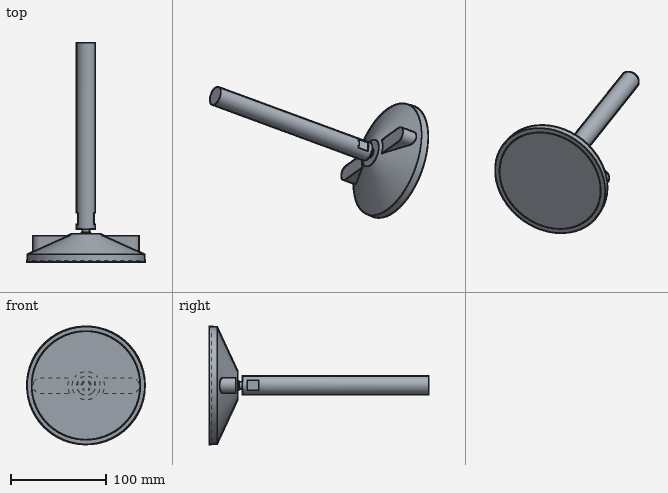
import cadquery as cq


foot_diameter = 124.0
rim_top_diameter = 123
hub_diameter = 29.5
rim_height = 8.3
foot_height = 30.0

recess_diameter = 114.0
pad_diameter = 113.5
gap_depth = 2.0

lug_length = 111.5
lug_width = 16.5
lug_top = 28.0
lug_bottom = rim_height / 2

ball_diameter = 12.5
ball_center = 26.7
neck_diameter = 7.8

rod_diameter = 20.0
rod_start = 34.75
rod_end = 230.0
flat_to_flat = 17.0
flat_length = 12.0
flat_offset = 5.0


def y_cylinder(diameter, start, end):
    """Cylinder on the Y axis from start to end."""
    plane = cq.Workplane("XZ", origin=(0, end, 0))
    return plane.circle(diameter / 2).extrude(end - start)


def make_foot():
    """Slightly tapered rim with a cone rising to a flat hub."""
    profile = [
        (0, 0),
        (foot_diameter / 2, 0),
        (rim_top_diameter / 2, rim_height),
        (hub_diameter / 2, foot_height),
        (0, foot_height),
    ]
    return cq.Workplane("XY").polyline(profile).close().revolve(360, (0, 0), (0, 1))


def make_lug():
    """Bar along X with round ends, running from inside the rim up to the lug top."""
    plane = cq.Workplane("XZ", origin=(0, lug_top, 0))
    return plane.slot2D(lug_length, lug_width).extrude(lug_top - lug_bottom)


def make_pad_gap():
    """Thin ring that separates the pad from the rim."""
    outer = y_cylinder(recess_diameter, 0, gap_depth)
    return outer.cut(y_cylinder(pad_diameter, 0, gap_depth))


def make_joint():
    """Ball seated in the hub and the neck that joins it to the rod."""
    ball = cq.Workplane("XY", origin=(0, ball_center, 0)).sphere(ball_diameter / 2)
    return ball.union(y_cylinder(neck_diameter, ball_center, rod_start))


def make_rod():
    """Round rod with a pair of wrench flats on its -X and +X sides."""
    rod = y_cylinder(rod_diameter, rod_start, rod_end)
    flat_center = rod_start + flat_offset + flat_length / 2
    for side in (-1, 1):
        cutter_x = side * (flat_to_flat + rod_diameter) / 2
        cutter = cq.Workplane("XY", origin=(cutter_x, flat_center, 0))
        rod = rod.cut(cutter.box(rod_diameter, flat_length, rod_diameter))
    return rod


foot = make_foot().union(make_lug()).cut(make_pad_gap())
result = foot.union(make_joint()).union(make_rod())